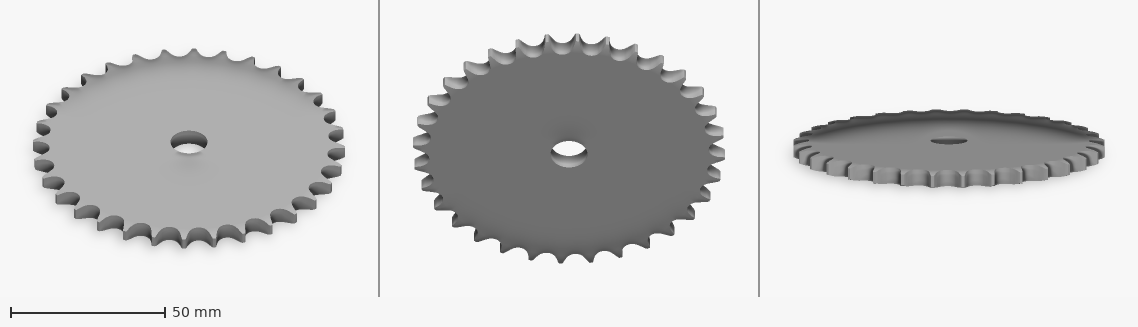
import cadquery as cq
import math

overall_size = 100.9
thickness = 5.3
bore_diameter = 12.0
tooth_count = 32
chain_pitch = 9.52

seat_radius = 3.2
hollow_radius = 8.3
flank_length = 0.88
topping_radius = 5.1

seat_half_angle = 90 - (35 + 60 / tooth_count)
hollow_sweep = 18 - 56 / tooth_count
flank_angle = seat_half_angle + hollow_sweep

relief_start_radius = 46.2
relief_radius = 12.1
blank_clearance = 0.1

pitch_radius = chain_pitch / 2 / math.sin(math.pi / tooth_count)
tip_height = overall_size / 2
tooth_angle = 2 * math.pi / tooth_count


def arc_point(center, radius, angle_degrees):
    """Point on a gap arc; the angle is measured from the inward radial direction."""
    angle = math.radians(angle_degrees)
    return center[0] + radius * math.sin(angle), center[1] - radius * math.cos(angle)


def turn(point, angle, side=1):
    """Turn a gap point about the part axis; side -1 mirrors it across the gap first."""
    x, y = side * point[0], point[1]
    return x * math.cos(angle) - y * math.sin(angle), x * math.sin(angle) + y * math.cos(angle)


def gap_side_points():
    """Points of one side of a tooth gap, from the bottom of the roller seat to the tip corner."""
    seat_center = (0, pitch_radius)
    seat_bottom = arc_point(seat_center, seat_radius, 0)
    seat_end = arc_point(seat_center, seat_radius, seat_half_angle)

    hollow_center = arc_point(seat_center, seat_radius - hollow_radius, seat_half_angle)
    hollow_middle = arc_point(hollow_center, hollow_radius, seat_half_angle + hollow_sweep / 2)
    hollow_end = arc_point(hollow_center, hollow_radius, flank_angle)

    flank_end = arc_point(hollow_end, flank_length, flank_angle + 90)

    topping_center = arc_point(flank_end, topping_radius, flank_angle)
    tip_angle = math.degrees(math.acos((tip_height - topping_center[1]) / topping_radius))
    topping_middle = arc_point(topping_center, -topping_radius, (flank_angle + tip_angle) / 2)
    tip_corner = arc_point(topping_center, -topping_radius, tip_angle)

    return seat_bottom, seat_end, hollow_middle, hollow_end, flank_end, topping_middle, tip_corner


gap_side = gap_side_points()
tip_radius = math.hypot(*gap_side[-1])


def tooth_outline():
    """Closed outline of all teeth, drawn gap by gap."""
    tip_middle = turn((0, tip_radius), -tooth_angle / 2)

    outline = cq.Workplane("XY").moveTo(*gap_side[-1])
    for gap in range(tooth_count):
        angle = gap * tooth_angle
        next_angle = angle + tooth_angle
        right_side = [turn(point, angle) for point in gap_side]
        left_side = [turn(point, angle, -1) for point in gap_side]
        seat_bottom, seat_end, hollow_middle, hollow_end, flank_end, topping_middle, _ = right_side
        outline = (
            outline.threePointArc(topping_middle, flank_end)
            .lineTo(*hollow_end)
            .threePointArc(hollow_middle, seat_end)
        )
        _, seat_end, hollow_middle, hollow_end, flank_end, topping_middle, tip_corner = left_side
        outline = (
            outline.threePointArc(seat_bottom, seat_end)
            .threePointArc(hollow_middle, hollow_end)
            .lineTo(*flank_end)
            .threePointArc(topping_middle, tip_corner)
            .threePointArc(turn(tip_middle, next_angle), turn(gap_side[-1], next_angle))
        )
    return outline.close()


def relieved_blank():
    """Disc whose rim thins towards the tips along an arc tangent to each flat face."""
    blank_radius = tip_radius + blank_clearance
    half_thickness = thickness / 2

    def relief_point(radius):
        reach = radius - relief_start_radius
        drop = relief_radius - math.sqrt(relief_radius**2 - reach**2)
        return radius, half_thickness - drop

    def below(point):
        return point[0], -point[1]

    start = relief_point(relief_start_radius)
    middle = relief_point((relief_start_radius + blank_radius) / 2)
    rim = relief_point(blank_radius)
    return (
        cq.Workplane("XZ")
        .moveTo(0, half_thickness)
        .lineTo(*start)
        .threePointArc(middle, rim)
        .lineTo(*below(rim))
        .threePointArc(below(middle), below(start))
        .lineTo(0, -half_thickness)
        .close()
        .revolve(360, (0, 0), (0, 1))
    )


toothed_plate = tooth_outline().extrude(thickness / 2, both=True)
bore = cq.Workplane("XY").circle(bore_diameter / 2).extrude(thickness, both=True)
result = toothed_plate.intersect(relieved_blank()).cut(bore)